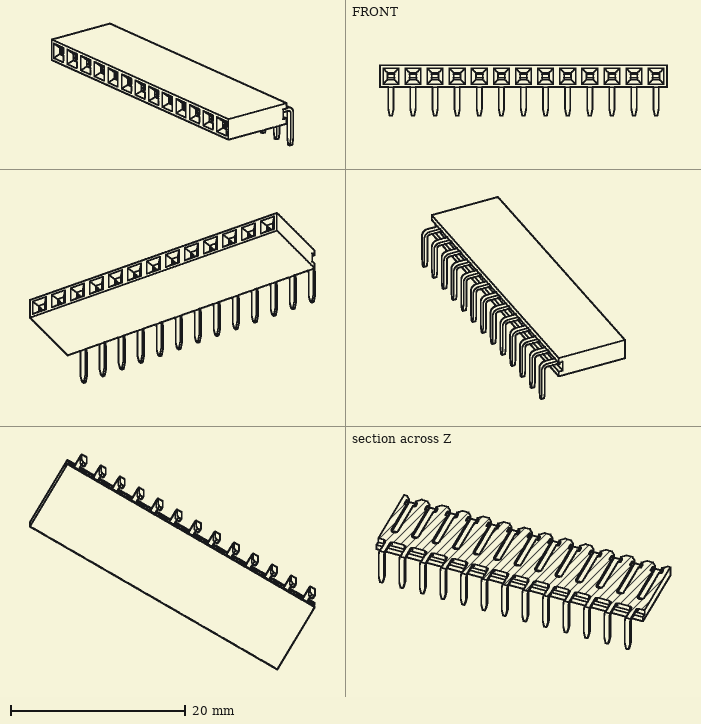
import cadquery as cq

pin_count = 13
pitch = 2.54
housing_length = pin_count * pitch
housing_height = 2.54
housing_depth = 8.5

groove_height = 1.2
groove_depth = 0.5
groove_floor_y = housing_depth - groove_depth

funnel_mouth = 1.8
funnel_throat = 0.8
funnel_depth = 0.5
well_floor_y = 6.0

side_slot_width = 1.3
side_slot_start_y = 0.75
tine_tip_y = 1.4
tine_gap = 0.74
tine_root_radius = tine_gap / 2

pin_width = 0.64
pin_thickness = 0.4
pin_overhang = 1.7
pin_drop = 3.3
bend_outer_radius = 0.7
bend_inner_radius = bend_outer_radius - pin_thickness
taper_length = 0.82
tip_width = 0.3
pin_embedment = 0.5

shoulder_width = 1.0
shoulder_length = 0.1

pin_rear_y = housing_depth + pin_overhang
pin_tip_z = -housing_height / 2 - pin_drop


def box_along_y(width, height, start_y, end_y):
    """Box centred on the Y axis, spanning start_y to end_y."""
    return cq.Workplane("XZ", origin=(0, start_y, 0)).rect(width, height).extrude(start_y - end_y)


def make_housing():
    """Rectangular bar with the rear groove cut along its full length."""
    bar = box_along_y(housing_length, housing_height, 0, housing_depth)
    return bar.cut(box_along_y(housing_length, groove_height, groove_floor_y, housing_depth))


def make_socket():
    """Cavity of one socket, opening at Y = 0 and running toward +Y."""
    funnel = (
        cq.Workplane("XZ")
        .rect(funnel_mouth, funnel_mouth)
        .workplane(offset=-funnel_depth)
        .rect(funnel_throat, funnel_throat)
        .loft(ruled=True)
    )
    well = box_along_y(funnel_throat, funnel_throat, funnel_depth, well_floor_y)
    side_slots = box_along_y(side_slot_width, pin_thickness, side_slot_start_y, tine_tip_y)
    return funnel.union(well).union(side_slots).cut(make_tines()).union(make_tine_root())


def make_tines():
    """The two tines, each reaching from its side slot slightly into the well."""
    tines = box_along_y(side_slot_width, pin_thickness, tine_tip_y, well_floor_y)
    return tines.cut(box_along_y(tine_gap, pin_thickness, tine_tip_y, well_floor_y))


def make_tine_root():
    """Half-round recess that closes the gap between the tines, beyond the well floor."""
    return (
        cq.Workplane("XY", origin=(0, 0, -pin_thickness / 2))
        .moveTo(-tine_gap / 2, well_floor_y)
        .threePointArc((0, well_floor_y + tine_root_radius), (tine_gap / 2, well_floor_y))
        .close()
        .extrude(pin_thickness)
    )


def make_pin():
    """Right-angle pin with a tapered lower end and a shoulder at the groove floor."""
    bend_start_y = pin_rear_y - bend_outer_radius
    bend_end_z = pin_thickness / 2 - bend_outer_radius
    root_y = groove_floor_y - pin_embedment
    strip = (
        cq.Workplane("YZ", origin=(-pin_width / 2, 0, 0))
        .moveTo(root_y, pin_thickness / 2)
        .lineTo(bend_start_y, pin_thickness / 2)
        .radiusArc((pin_rear_y, bend_end_z), bend_outer_radius)
        .lineTo(pin_rear_y, pin_tip_z)
        .lineTo(pin_rear_y - pin_thickness, pin_tip_z)
        .lineTo(pin_rear_y - pin_thickness, bend_end_z)
        .radiusArc((bend_start_y, -pin_thickness / 2), -bend_inner_radius)
        .lineTo(root_y, -pin_thickness / 2)
        .close()
        .extrude(pin_width)
    )
    taper_top_z = pin_tip_z + taper_length
    for side in (-1, 1):
        corner = (
            cq.Workplane("XZ", origin=(0, pin_rear_y, 0))
            .moveTo(side * pin_width / 2, taper_top_z)
            .lineTo(side * pin_width / 2, pin_tip_z)
            .lineTo(side * tip_width / 2, pin_tip_z)
            .close()
            .extrude(pin_thickness)
        )
        strip = strip.cut(corner)
    shoulder_end_y = groove_floor_y + shoulder_length
    shoulder = box_along_y(shoulder_width, pin_thickness, groove_floor_y, shoulder_end_y)
    return strip.union(shoulder)


socket = make_socket()
pin = make_pin()
result = make_housing()
for index in range(pin_count):
    cell_x = (index - (pin_count - 1) / 2) * pitch
    result = result.cut(socket.translate((cell_x, 0, 0)))
    result = result.union(pin.translate((cell_x, 0, 0)))